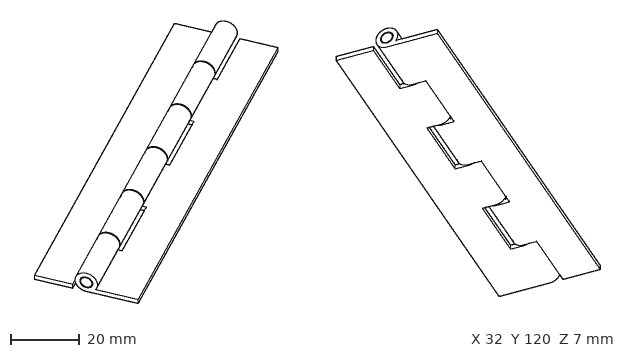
import cadquery as cq

hinge_length = 120.0
hinge_width = 32.0
leaf_thickness = 1.5
barrel_diameter = 7.0
bore_diameter = 4.0
pin_diameter = 3.5
knuckle_count = 6
knuckle_pitch = 20.4
knuckle_gap = 0.4
notch_clearance = 0.7

barrel_radius = barrel_diameter / 2
axis_height = barrel_radius
half_length = hinge_length / 2
half_width = hinge_width / 2
notch_edge = barrel_radius + notch_clearance
middle_joint = knuckle_count / 2


def along_axis(diameter, y_start, y_end):
    """Solid cylinder on the hinge axis between two Y positions."""
    return (
        cq.Workplane("XZ", origin=(0, y_start, axis_height))
        .circle(diameter / 2)
        .extrude(y_start - y_end)
    )


def knuckle_span(index):
    """Start and end of a knuckle along Y; index 0 is at the -Y end."""
    y_start = -half_length
    y_end = half_length
    if index > 0:
        y_start = (index - middle_joint) * knuckle_pitch + knuckle_gap / 2
    if index < knuckle_count - 1:
        y_end = (index + 1 - middle_joint) * knuckle_pitch - knuckle_gap / 2
    return y_start, y_end


def plate(x_start, x_end, y_start, y_end):
    """Flat piece of leaf, resting on Z = 0."""
    return cq.Workplane("XY").box(
        x_end - x_start, y_end - y_start, leaf_thickness, centered=False
    ).translate((x_start, y_start, 0))


def make_leaf(side, first_knuckle):
    """Leaf on one side of the axis (side is -1 or +1) carrying every second knuckle."""
    inner_edge = side * notch_edge
    outer_edge = side * half_width
    leaf = plate(min(inner_edge, outer_edge), max(inner_edge, outer_edge), -half_length, half_length)
    for index in range(first_knuckle, knuckle_count, 2):
        y_start, y_end = knuckle_span(index)
        tab = plate(min(inner_edge, 0), max(inner_edge, 0), y_start, y_end)
        leaf = leaf.union(tab).union(along_axis(barrel_diameter, y_start, y_end))
    return leaf.cut(along_axis(bore_diameter, -half_length, half_length))


right_leaf = make_leaf(side=1, first_knuckle=0)
left_leaf = make_leaf(side=-1, first_knuckle=1)
pin = along_axis(pin_diameter, -half_length, half_length)

result = cq.Compound.makeCompound([left_leaf.val(), right_leaf.val(), pin.val()])